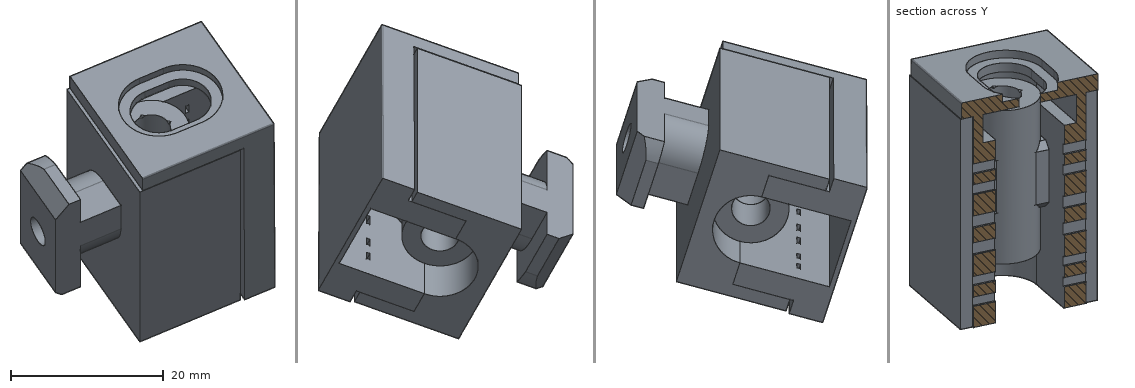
import cadquery as cq
import math


housing_width = 20.0
housing_depth = 14.98
housing_height = 30.5

cover_top_width = 19.95
cover_bottom_width = 20.5
cover_height = 33.0
cover_front = 0.43
cover_back = 20.05
cover_length = cover_back - cover_front
roof_thickness = 2.4
roof_underside = cover_height - roof_thickness
back_wall_front = 15.48
edge_round = 0.13

slot_center = 10.03
slot_travel = 3.6
slot_width = 7.45
counterbore_width = 10.5
counterbore_depth = 1.12

tongue_width = 16.5

barrel_diameter = 10.0
barrel_center = 7.2
barrel_top = 28.68
barrel_hole_diameter = 5.0
seat_size = 4.05
seat_depth = 1.32

channel_width = barrel_diameter
channel_back = 19.4
ledge_width = 1.8
ledge_height = 26.55

bar_centers = (5.28, 13.4, 21.5)
bar_heights = (1.7, 2.2, 1.6)
window_heights = (1.3, 1.68, 1.42)

bolt_height = 17.55
shaft_size = 9.6
shaft_end = 11.25
head_length = 18.85
head_diameter = 19.27
head_front = -9.75
head_back = -6.0
head_chamfer = 2.0
shaft_chamfer = 1.0
bolt_hole_diameter = 4.0

tongue_front = barrel_center
neck_end = barrel_center
barrel_bottom = 2 * bolt_height - barrel_top


def block(width, front, back, bottom, top):
    """Box centred on X between the given Y and Z limits."""
    return (
        cq.Workplane("XY", origin=(0, front, bottom))
        .box(width, back - front, top - bottom, centered=(True, False, False))
    )


def vertical_cylinder(diameter, bottom, top):
    """Cylinder on the barrel axis."""
    return cq.Workplane("XY", origin=(0, barrel_center, bottom)).circle(diameter / 2).extrude(top - bottom)


def across_bolt(back):
    """Workplane across the bolt axis, at the given Y and with its normal along -Y."""
    return cq.Workplane("XZ", origin=(0, back, bolt_height))


def make_neck():
    """Front half of the shaft, with two opposite corners rounded for a quarter turn."""
    radius = shaft_size / 2
    arc_middle = radius * math.sqrt(0.5)
    return (
        across_bolt(neck_end)
        .moveTo(-radius, -radius)
        .lineTo(0, -radius)
        .threePointArc((arc_middle, -arc_middle), (radius, 0))
        .lineTo(radius, radius)
        .lineTo(0, radius)
        .threePointArc((-arc_middle, arc_middle), (-radius, 0))
        .close()
        .extrude(neck_end - head_back)
    )


def make_shaft():
    """Rounded neck followed by a square tail, whose end is chamfered above and below."""
    tail = (
        across_bolt(shaft_end)
        .rect(shaft_size, shaft_size)
        .extrude(shaft_end - neck_end)
        .faces(">Y")
        .edges(">Z or <Z")
        .chamfer(shaft_chamfer)
    )
    return make_neck().union(tail)


def make_head():
    """Rectangular head, chamfered in front, with two opposite corners rounded on a circle."""
    thickness = head_back - head_front
    corner_x = shaft_size / 4
    corner_z = head_length / 4
    head = (
        across_bolt(head_back)
        .rect(shaft_size, head_length)
        .extrude(thickness)
        .faces("<Y")
        .edges(">Z or <Z")
        .chamfer(head_chamfer)
    )
    swing_circle = across_bolt(head_back).circle(head_diameter / 2).extrude(thickness)
    square_corners = (
        across_bolt(head_back)
        .pushPoints([(corner_x, corner_z), (-corner_x, -corner_z)])
        .rect(shaft_size / 2, head_length / 2)
        .extrude(thickness)
    )
    return head.intersect(swing_circle.union(square_corners))


def make_bolt():
    """Head and shaft, with a lengthwise hole and the cross hole of the barrel."""
    bolt_hole = across_bolt(shaft_end).circle(bolt_hole_diameter / 2).extrude(shaft_end - head_front)
    return (
        make_shaft()
        .union(make_head())
        .cut(bolt_hole)
        .cut(vertical_cylinder(barrel_hole_diameter, barrel_bottom, barrel_top))
    )


def make_barrel():
    """Cylinder on its axis, pierced by the bolt shaft, with a square countersink on top."""
    seat = (
        cq.Workplane("XY", origin=(0, barrel_center, barrel_top))
        .transformed(rotate=(0, 0, 45))
        .rect(seat_size, seat_size)
        .extrude(-seat_depth, taper=45)
    )
    return (
        vertical_cylinder(barrel_diameter, barrel_bottom, barrel_top)
        .cut(vertical_cylinder(barrel_hole_diameter, barrel_bottom, barrel_top))
        .cut(seat)
        .cut(make_shaft())
    )


def make_housing():
    """Block with a recess for the tongue, a bore for the barrel and an opening for the bolt."""
    return (
        block(housing_width, 0, housing_depth, 0, housing_height)
        .cut(block(tongue_width, tongue_front, housing_depth, 0, housing_height))
        .cut(vertical_cylinder(barrel_diameter, 0, housing_height))
        .cut(make_shaft())
    )


def make_cover_body():
    """Tapered L shape of roof and back wall, with its outer edges rounded."""
    outline = [
        (-cover_bottom_width / 2, 0),
        (cover_bottom_width / 2, 0),
        (cover_top_width / 2, cover_height),
        (-cover_top_width / 2, cover_height),
    ]
    body = cq.Workplane("XZ", origin=(0, cover_back, 0)).polyline(outline).close().extrude(cover_length)
    body = body.faces(">Z or >Y").edges("not <Y").edges("not <Z").fillet(edge_round)
    return body.cut(block(cover_bottom_width, cover_front, back_wall_front, 0, roof_underside))


def make_slot(width, top, depth):
    """Vertical slot with round ends, cut downwards from the given height."""
    return (
        cq.Workplane("XY", origin=(0, slot_center, top))
        .slot2D(slot_travel + width, width, 90)
        .extrude(-depth)
    )


def make_windows():
    """Openings through the tongue, in the gap between the housing and the back wall."""
    windows = cq.Workplane("XY")
    for center, bar, window in zip(bar_centers, bar_heights, window_heights):
        for bottom in (center - bar / 2 - window, center + bar / 2):
            windows = windows.add(block(tongue_width, housing_depth, back_wall_front, bottom, bottom + window))
    return windows.combine()


def make_cover():
    """Cover with its slot and its hollow tongue, shaped around the barrel."""
    wide_channel_width = channel_width + 2 * ledge_width
    return (
        make_cover_body()
        .union(block(tongue_width, tongue_front, back_wall_front, 0, roof_underside))
        .cut(block(channel_width, tongue_front, channel_back, 0, ledge_height))
        .cut(block(wide_channel_width, tongue_front, channel_back, ledge_height, roof_underside))
        .cut(make_windows())
        .cut(make_slot(slot_width, cover_height, roof_thickness))
        .cut(make_slot(counterbore_width, cover_height, counterbore_depth))
    )


housing = make_housing()
cover = make_cover()
barrel = make_barrel()
bolt = make_bolt()

result = cq.Compound.makeCompound([housing.val(), cover.val(), barrel.val(), bolt.val()])